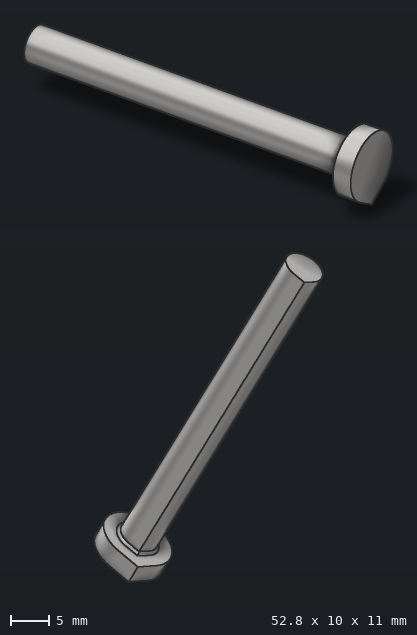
import cadquery as cq
import math

shaft_length = 50.0
shaft_radius = 2.7
shaft_tip = 3.2
head_thickness = 2.8
head_radius = 5.0
head_tip = 6.0
root_chamfer = 0.4


def teardrop(x, radius, tip):
    """Teardrop outline at station x: an arc closed by its two tangents through the tip."""
    tangent_angle = math.acos(radius / tip)
    tangent_y = radius * math.sin(tangent_angle)
    tangent_z = -radius * math.cos(tangent_angle)
    return (
        cq.Workplane("YZ", origin=(x, 0, 0))
        .moveTo(0, -tip)
        .lineTo(tangent_y, tangent_z)
        .threePointArc((0, radius), (-tangent_y, tangent_z))
        .close()
    )


def flare_root(pin):
    """Fill, at 45 degrees, the inside corner between the shaft and the underside of the head."""
    margin = root_chamfer / 2
    reach = shaft_tip + margin
    root_edges = cq.selectors.BoxSelector(
        (shaft_length - margin, -reach, -reach),
        (shaft_length + margin, reach, reach),
        boundingbox=True,
    )
    return pin.edges(root_edges).chamfer(root_chamfer)


shaft = teardrop(0, shaft_radius, shaft_tip).extrude(shaft_length)
head = teardrop(shaft_length, head_radius, head_tip).extrude(head_thickness)
result = flare_root(shaft.union(head))